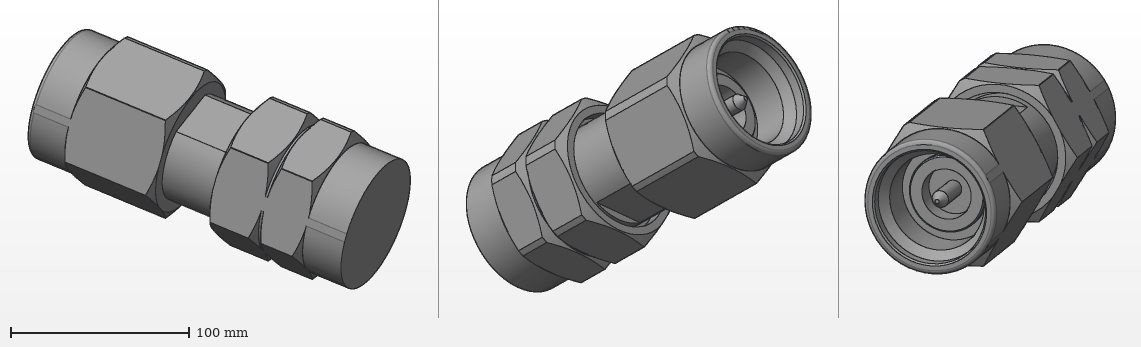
import cadquery as cq
import math

length = 203.5
across_flats = 80.0
hex_offset = 1.0
half_corner_angle = math.radians(30)
across_corners = across_flats / math.cos(half_corner_angle)
near_flat_distance = across_flats / 2 - hex_offset * math.cos(half_corner_angle)

barrel_skim = 0.08
nut_face_skim = 0.25
barrel_radius = near_flat_distance + barrel_skim
nut_face_radius = near_flat_distance + nut_face_skim
nut_radius = 45.5
nut_chamfer_angle = 30.0
first_nut = (24.8, 83.6)
second_nut = (118.6, 150.2)
third_nut = (151.6, 178.7)
rim_fillet = 2.5

neck_radius = 32.0
neck_flat_height = 27.5
gap_radius = 34.5
gap_depth = 8.1
flat_overrun = 0.8

mouth_radius = 33.0
mouth_chamfer = 1.0
mouth_depth = 7.0
bore_radius = 28.0
taper_end = 12.5
bore_depth = 34.0
sleeve_radius = 22.4
sleeve_chamfer = 0.8
sleeve_start = 28.9
sleeve_bore_radius = 14.7
sleeve_bore_depth = 40.7

pin_radius = 4.9
pin_tip_radius = 1.2
pin_tip_start = 13.0
pin_cone_end = 18.3

neck_start = first_nut[1]
neck_end = second_nut[0]


def revolve_about_x(points):
    """Solid of revolution from (x, radius) points, closed along the X axis."""
    outline = [(points[0][0], 0), *points, (points[-1][0], 0)]
    return cq.Workplane("XY").polyline(outline).close().revolve(360, (0, 0, 0), (1, 0, 0))


def cylinder(start, end, radius):
    """Plain cylinder between two positions along X."""
    return revolve_about_x([(start, radius), (end, radius)])


def nut_blank(start, end):
    """Round nut blank with a flat cone on both faces."""
    cone_length = (nut_radius - nut_face_radius) * math.tan(math.radians(nut_chamfer_angle))
    return revolve_about_x([
        (start, nut_face_radius),
        (start + cone_length, nut_radius),
        (end - cone_length, nut_radius),
        (end, nut_face_radius),
    ])


def outer_body():
    """Filleted barrel with the nut blanks, milled to a hexagon over its full length."""
    body = cylinder(0, length, barrel_radius).faces("<X").edges().fillet(rim_fillet)
    body = body.union(cylinder(second_nut[1], third_nut[0], nut_face_radius))
    for start, end in (first_nut, second_nut, third_nut):
        body = body.union(nut_blank(start, end))
    hexagon = (
        cq.Workplane("YZ")
        .center(hex_offset, 0)
        .polygon(6, across_corners)
        .extrude(length)
    )
    return body.intersect(hexagon)


def neck_cut():
    """Material removed around the neck: the open length, the ring recess and the two flats."""
    flats_end = neck_end + flat_overrun
    recess_end = neck_end + gap_depth
    cut = cylinder(neck_start, neck_end, nut_radius)
    cut = cut.union(cylinder(neck_end, recess_end, gap_radius))
    neck = cylinder(neck_start, recess_end, neck_radius)
    slab = (
        cq.Workplane("XY")
        .box(flats_end - neck_start, 2 * neck_radius, 2 * neck_flat_height, centered=(False, True, True))
        .translate((neck_start, 0, 0))
    )
    flatted_neck = neck.intersect(slab).union(cylinder(flats_end, recess_end, neck_radius))
    return cut.cut(flatted_neck)


def socket_cut():
    """Chamfered mouth tapering into the main bore."""
    return revolve_about_x([
        (0, mouth_radius + mouth_chamfer),
        (mouth_chamfer, mouth_radius),
        (mouth_depth, mouth_radius),
        (taper_end, bore_radius),
        (bore_depth, bore_radius),
    ])


def sleeve():
    """Raised sleeve standing on the bore floor."""
    return revolve_about_x([
        (sleeve_start, sleeve_radius - sleeve_chamfer),
        (sleeve_start + sleeve_chamfer, sleeve_radius),
        (bore_depth, sleeve_radius),
    ])


def pin():
    """Centre pin with a blunt conical tip, rooted in the sleeve bore floor."""
    return revolve_about_x([
        (pin_tip_start, pin_tip_radius),
        (pin_cone_end, pin_radius),
        (sleeve_bore_depth, pin_radius),
    ])


result = (
    outer_body()
    .cut(neck_cut())
    .cut(socket_cut())
    .union(sleeve())
    .cut(cylinder(sleeve_start, sleeve_bore_depth, sleeve_bore_radius))
    .union(pin())
)